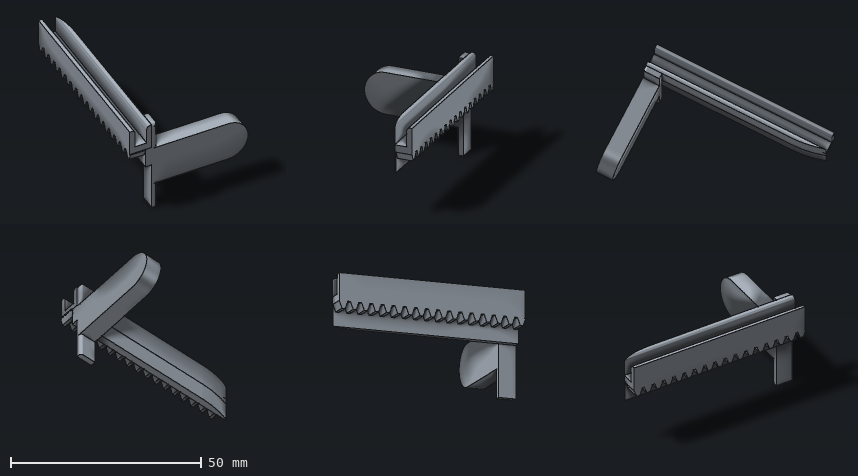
import cadquery as cq
import math

RAIL_LENGTH = 52.4
TOTAL_LENGTH = 52.75
TOTAL_DEPTH = 35.0
TOTAL_HEIGHT = 28.0
BACK_Y = 6.5
SPLIT_Z = 20.4
NOSE_RADIUS = 30.0
EDGE_RADIUS = 1.0

WALL_THICKNESS = 1.6
LIP_FRONT_Y = 5.0
SHELF_THICKNESS = 2.05
TOOTH_COUNT = 17
TOOTH_HEIGHT = 2.05
TOOTH_TIP_WIDTH = 0.9
TOOTH_ROOT_WIDTH = 2.5
TOOTH_PITCH = (TOTAL_LENGTH - TOOTH_ROOT_WIDTH) / (TOOTH_COUNT - 1)

PLATE_FRONT_Y = 4.6
PLATE_HEIGHT = 5.9
ARM_WIDTH = 4.9
ARM_THICKNESS = 1.6
ARM_EDGE_RADIUS = 0.9
TONGUE_HEIGHT = 11.95

ARM_LEFT_X = RAIL_LENGTH - ARM_WIDTH
ARM_BACK_Y = BACK_Y + ARM_THICKNESS


def block(x_range, y_range, z_range):
    """Box spanning the given (low, high) pairs."""
    lows, highs = zip(x_range, y_range, z_range)
    sizes = [high - low for low, high in zip(lows, highs)]
    return cq.Workplane("XY").box(*sizes, centered=False).translate(lows)


def round_nose(body):
    """Taper the back of the left end along an arc tangent to the back plane."""
    arc_center_y = BACK_Y - NOSE_RADIUS
    taper_depth = BACK_Y - LIP_FRONT_Y
    taper_length = math.sqrt(NOSE_RADIUS**2 - (NOSE_RADIUS - taper_depth) ** 2)
    half_angle = math.asin(taper_length / NOSE_RADIUS) / 2
    arc_middle = (
        taper_length - NOSE_RADIUS * math.sin(half_angle),
        arc_center_y + NOSE_RADIUS * math.cos(half_angle),
    )
    outline = (
        cq.Workplane("XY")
        .lineTo(RAIL_LENGTH, 0)
        .lineTo(RAIL_LENGTH, BACK_Y)
        .lineTo(taper_length, BACK_Y)
        .threePointArc(arc_middle, (0, LIP_FRONT_Y))
        .close()
        .extrude(TOTAL_HEIGHT)
    )
    return body.intersect(outline)


def make_channel():
    """U-shaped rail with the two inner top edges rounded."""
    rail = block((0, RAIL_LENGTH), (0, BACK_Y), (SPLIT_Z, TOTAL_HEIGHT))
    groove = block(
        (0, RAIL_LENGTH),
        (WALL_THICKNESS, LIP_FRONT_Y),
        (SPLIT_Z + SHELF_THICKNESS, TOTAL_HEIGHT),
    )
    margin = EDGE_RADIUS / 2
    rim = cq.selectors.BoxSelector(
        (0, WALL_THICKNESS - margin, TOTAL_HEIGHT - margin),
        (RAIL_LENGTH, LIP_FRONT_Y + margin, TOTAL_HEIGHT + margin),
    )
    return round_nose(rail.cut(groove).edges("|X").edges(rim).fillet(EDGE_RADIUS))


def make_tooth(root_x):
    """Straight-flanked tooth hanging below the rail, its root starting at root_x."""
    flank_run = (TOOTH_ROOT_WIDTH - TOOTH_TIP_WIDTH) / 2
    return (
        cq.Workplane("XZ")
        .moveTo(root_x, SPLIT_Z)
        .line(TOOTH_ROOT_WIDTH, 0)
        .line(-flank_run, -TOOTH_HEIGHT)
        .line(-TOOTH_TIP_WIDTH, 0)
        .close()
        .extrude(-PLATE_FRONT_Y)
    )


def make_rack():
    rack = make_channel()
    for index in range(TOOTH_COUNT):
        rack = rack.union(make_tooth(index * TOOTH_PITCH))
    return rack


def make_arm():
    """Upright strip with its top right and back right edges rounded."""
    arm = block((ARM_LEFT_X, RAIL_LENGTH), (BACK_Y, ARM_BACK_Y), (0, TOTAL_HEIGHT))
    return arm.edges("(>X and >Z) or (>X and >Y)").fillet(ARM_EDGE_RADIUS)


def make_tongue():
    """Flat tongue with a full round end, centred on the height of the arm."""
    radius = TONGUE_HEIGHT / 2
    middle_z = TOTAL_HEIGHT / 2
    round_start_y = TOTAL_DEPTH - radius
    return (
        cq.Workplane("YZ", origin=(ARM_LEFT_X, 0, 0))
        .moveTo(BACK_Y, middle_z - radius)
        .lineTo(round_start_y, middle_z - radius)
        .threePointArc((TOTAL_DEPTH, middle_z), (round_start_y, middle_z + radius))
        .lineTo(BACK_Y, middle_z + radius)
        .close()
        .extrude(ARM_WIDTH)
    )


def make_bracket():
    plate = round_nose(
        block((0, RAIL_LENGTH), (PLATE_FRONT_Y, BACK_Y), (SPLIT_Z - PLATE_HEIGHT, SPLIT_Z))
    )
    return plate.union(make_arm()).union(make_tongue())


rack = make_rack()
bracket = make_bracket()
result = cq.Compound.makeCompound([rack.val(), bracket.val()])